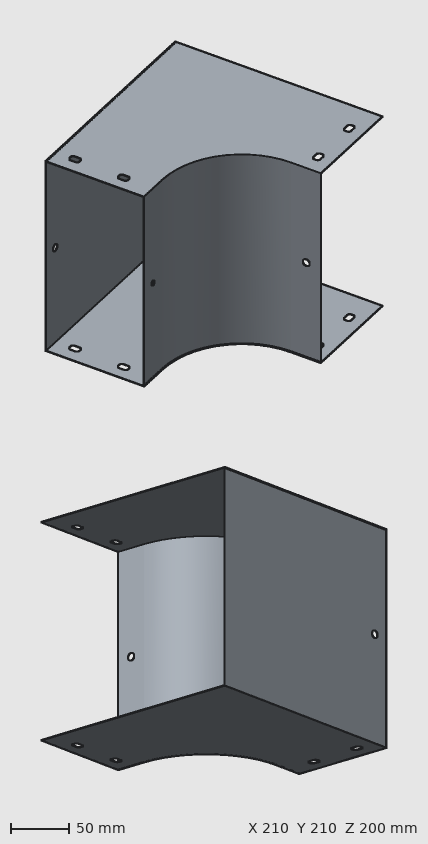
import cadquery as cq

SIZE = 210.0
HEIGHT = 200.0
DUCT_WIDTH = 100.0
STRAIGHT_LENGTH = 30.0
WALL = 0.8

SLOT_LENGTH = 10.0
SLOT_WIDTH = 7.0
SLOT_CORNER_RADIUS = 2.5
SLOT_PITCH = 50.0
SLOT_SIDE_OFFSET = 20.0
SLOT_END_OFFSET = 15.0
OUTERMOST_SLOT_END_OFFSET = 16.0

HOLE_DIAMETER = 7.0
SMALL_HOLE_DIAMETER = 5.0
HOLE_END_OFFSET = 15.0

bend_radius = SIZE - DUCT_WIDTH - STRAIGHT_LENGTH
inner_y = SIZE - DUCT_WIDTH
mid_height = HEIGHT / 2


def elbow_block(inset, bottom, top):
    """Solid elbow between two heights, with its -X and inner sides moved inward by inset."""
    inner_x = DUCT_WIDTH - inset
    inner_edge_y = inner_y + inset
    radius = bend_radius + inset
    bend_center = (DUCT_WIDTH + bend_radius, STRAIGHT_LENGTH)
    diagonal = radius / 2**0.5
    return (
        cq.Workplane("XY", origin=(0, 0, bottom))
        .moveTo(inset, 0)
        .lineTo(inner_x, 0)
        .lineTo(inner_x, STRAIGHT_LENGTH)
        .threePointArc(
            (bend_center[0] - diagonal, bend_center[1] + diagonal),
            (bend_center[0], inner_edge_y),
        )
        .lineTo(SIZE, inner_edge_y)
        .lineTo(SIZE, SIZE)
        .lineTo(inset, SIZE)
        .close()
        .extrude(top - bottom)
    )


def slot_cutter(x, y, x_length, y_length):
    """Round-cornered slot through both the top and bottom plates."""
    blank = cq.Workplane("XY").center(x, y).rect(x_length, y_length).extrude(HEIGHT)
    return blank.edges("|Z").fillet(SLOT_CORNER_RADIUS)


def x_hole_cutter(start, end, diameter):
    """Hole along X near the -Y open end."""
    plane = cq.Workplane("YZ", origin=(start, HOLE_END_OFFSET, mid_height))
    return plane.circle(diameter / 2).extrude(end - start)


def y_hole_cutter(start, end, diameter):
    """Hole along Y near the +X open end."""
    plane = cq.Workplane("XZ", origin=(SIZE - HOLE_END_OFFSET, start, mid_height))
    return plane.circle(diameter / 2).extrude(start - end)


result = elbow_block(0, 0, HEIGHT).cut(elbow_block(WALL, WALL, HEIGHT - WALL))

for index, end_offset in enumerate((OUTERMOST_SLOT_END_OFFSET, SLOT_END_OFFSET)):
    slot_x = SLOT_SIDE_OFFSET + index * SLOT_PITCH
    result = result.cut(slot_cutter(slot_x, end_offset, SLOT_LENGTH, SLOT_WIDTH))

for index in range(2):
    slot_y = inner_y + SLOT_SIDE_OFFSET + index * SLOT_PITCH
    result = result.cut(slot_cutter(SIZE - SLOT_END_OFFSET, slot_y, SLOT_WIDTH, SLOT_LENGTH))

result = result.cut(x_hole_cutter(0, WALL, HOLE_DIAMETER))
result = result.cut(x_hole_cutter(WALL, DUCT_WIDTH, SMALL_HOLE_DIAMETER))
result = result.cut(y_hole_cutter(inner_y, inner_y + WALL, HOLE_DIAMETER))